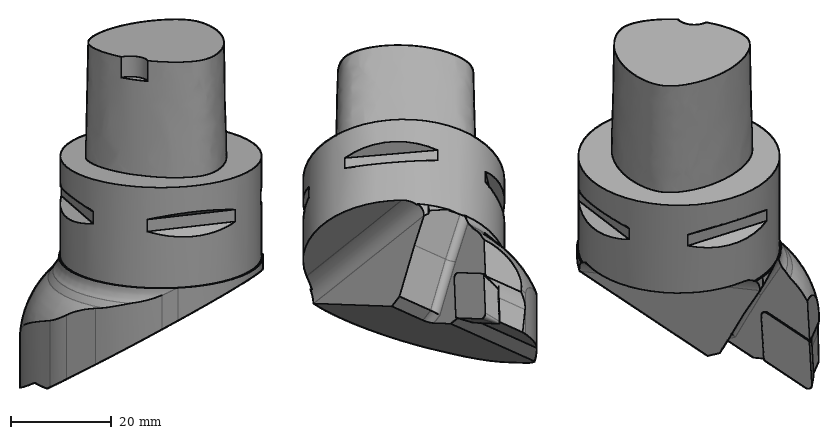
import cadquery as cq
import math


flange_radius = 20.0
flange_depth = 21.0

shank_length = 24.0
shank_base_radius = 14.0
shank_tip_radius = 13.5
shank_lobe = 1.0
shank_points = 24
notch_radius = 3.5
notch_center_y = -14.3
notch_depth = 4.3

groove_count = 4
groove_center_z = -8.0
groove_floor_height = 2.5
groove_floor_distance = 17.7
groove_flank_angle = 30.0
groove_cut_depth = 5.0

neck_radius = 20.3
neck_fillet = 4.2
shoulder_radius = 28.05
shoulder_round = 19.0
shoulder_round_center_z = -38.8
neck_bottom_z = -55.0

front_flat_y = -22.47
front_arc_radius = 22.5
front_arc_center_x = -3.9
front_arc_center_y = front_flat_y + front_arc_radius
blend_angle = math.radians(34.5)
corner_x = -12.05
corner_round = 10.0
left_arc_mid = (-20.96, -17.15)
left_arc_end_y = -10.75
back_step_y = 7.9

nose_x = -27.0
nose_z = -50.0
nose_radius = 0.8
inscribed_diameter = 9.525
insert_thickness = 3.97
insert_angle = 55.0
insert_clearance = 7.0
side_tilt = 3.0
bottom_angle = 90.0 - side_tilt - insert_angle

side_face_x = -26.0
side_face_z = -30.2
rear_face_y = 8.74
rear_cut_z = -20.0
rear_cut_round = 3.65
rake_face_y = -0.4
chip_wall_round = 1.5
chip_wall_kink = (-15.2, -29.2)
chip_wall_upper_angle = 30.0
chip_wall_lower_angle = 27.0
chip_bevel_top_z = -38.95
chip_bevel_bottom_z = -39.9
underside_right_z = -22.4
relief_step_z = -44.45
side_edge_relief = 0.7
bottom_edge_relief = 0.9
side_relief_top_z = -39.5
side_relief_tangent_z = -42.9

reach = 80.0

side_direction = (math.sin(math.radians(side_tilt)), math.cos(math.radians(side_tilt)))
bottom_direction = (math.cos(math.radians(bottom_angle)), math.sin(math.radians(bottom_angle)))
bottom_slope = math.tan(math.radians(bottom_angle))
side_slope = math.tan(math.radians(side_tilt))
nose_center = (nose_x + nose_radius, nose_z + nose_radius)


def side_edge_x(z):
    """X of the insert's side cutting edge at height z."""
    tangent_x = nose_center[0] - nose_radius / side_direction[1]
    return tangent_x + (z - nose_center[1]) * side_slope


def bottom_edge_z(x):
    """Z of the insert's bottom cutting edge at position x."""
    tangent_z = nose_center[1] - nose_radius / bottom_direction[0]
    return tangent_z + (x - nose_center[0]) * bottom_slope


def underside_x(z):
    """X of the sloping underside of the head at height z."""
    return neck_radius + (z - underside_right_z) / bottom_slope


def extrude_across(profile, y_low, y_high):
    """Extrude a closed XZ profile from y_low to y_high."""
    return profile.extrude(y_high - y_low).translate((0, y_high, 0))


def polygon_section(radius, z):
    """Rounded triangle with one lobe toward +Y."""
    def point(t):
        along = radius * math.cos(t) - shank_lobe * (2 * math.cos(2 * t) - math.cos(4 * t))
        across = radius * math.sin(t) + shank_lobe * (2 * math.sin(2 * t) + math.sin(4 * t))
        return (across, -along, z)

    points = [cq.Vector(*point(2 * math.pi * i / shank_points)) for i in range(shank_points)]
    return cq.Wire.assembleEdges([cq.Edge.makeSpline(points, periodic=True)])


def make_shank():
    base = polygon_section(shank_base_radius, 0)
    tip = polygon_section(shank_tip_radius, shank_length)
    shank = cq.Workplane(cq.Solid.makeLoft([base, tip]))
    notch = (
        cq.Workplane("XY", origin=(0, notch_center_y, shank_length - notch_depth))
        .circle(notch_radius)
        .extrude(2 * notch_depth)
    )
    return shank.cut(notch)


def make_flange():
    flange = cq.Workplane("XY").circle(flange_radius).extrude(-flange_depth)
    half_floor = groove_floor_height / 2
    half_mouth = half_floor + groove_cut_depth * math.tan(math.radians(groove_flank_angle))
    groove = (
        cq.Workplane("XZ")
        .moveTo(groove_floor_distance, groove_center_z - half_floor)
        .lineTo(groove_floor_distance + groove_cut_depth, groove_center_z - half_mouth)
        .lineTo(groove_floor_distance + groove_cut_depth, groove_center_z + half_mouth)
        .lineTo(groove_floor_distance, groove_center_z + half_floor)
        .close()
        .extrude(flange_radius, both=True)
    )
    for i in range(groove_count):
        angle = (i + 0.5) * 360 / groove_count
        flange = flange.cut(groove.rotate((0, 0, 0), (0, 0, 1), angle))
    return flange


def make_neck():
    """Neck that flares through a fillet and a cone into a rounded shoulder."""
    arc_angle = math.radians(45)
    arc_end = (math.cos(arc_angle), math.sin(arc_angle))
    arc_middle = (math.cos(arc_angle / 2), math.sin(arc_angle / 2))
    round_center_r = shoulder_radius - shoulder_round
    cone_end = (
        round_center_r + shoulder_round * arc_end[0],
        shoulder_round_center_z + shoulder_round * arc_end[1],
    )
    fillet_center_r = neck_radius + neck_fillet
    cone_start = (
        fillet_center_r - neck_fillet * arc_end[0],
        -flange_depth - neck_fillet * arc_end[1],
    )
    return (
        cq.Workplane("XZ")
        .moveTo(0, -flange_depth)
        .lineTo(neck_radius, -flange_depth)
        .threePointArc(
            (fillet_center_r - neck_fillet * arc_middle[0], -flange_depth - neck_fillet * arc_middle[1]),
            cone_start,
        )
        .lineTo(*cone_end)
        .threePointArc(
            (
                round_center_r + shoulder_round * arc_middle[0],
                shoulder_round_center_z + shoulder_round * arc_middle[1],
            ),
            (shoulder_radius, shoulder_round_center_z),
        )
        .lineTo(shoulder_radius, neck_bottom_z)
        .lineTo(0, neck_bottom_z)
        .close()
        .revolve(360, (0, 0, 0), (0, 1, 0))
    )


def make_outline():
    """Upright block with the outline of the head."""
    sin_blend = math.sin(blend_angle)
    cos_blend = math.cos(blend_angle)
    front_arc_end = (
        front_arc_center_x + front_arc_radius * sin_blend,
        front_arc_center_y - front_arc_radius * cos_blend,
    )
    front_arc_mid = (
        front_arc_center_x + front_arc_radius * math.sin(blend_angle / 2),
        front_arc_center_y - front_arc_radius * math.cos(blend_angle / 2),
    )
    back_step_x = -math.sqrt(neck_radius**2 - back_step_y**2)
    left_arc_end_x = -math.sqrt(shoulder_radius**2 - left_arc_end_y**2)
    block = (
        cq.Workplane("XY", origin=(0, 0, neck_bottom_z))
        .moveTo(corner_x, front_flat_y)
        .lineTo(front_arc_center_x, front_flat_y)
        .threePointArc(front_arc_mid, front_arc_end)
        .lineTo(neck_radius * sin_blend, -neck_radius * cos_blend)
        .threePointArc((0, neck_radius), (back_step_x, back_step_y))
        .lineTo(-reach, back_step_y)
        .lineTo(-reach, left_arc_end_y)
        .lineTo(left_arc_end_x, left_arc_end_y)
        .threePointArc(left_arc_mid, (corner_x, front_flat_y))
        .close()
        .extrude(-flange_depth - neck_bottom_z)
    )
    corner_edge = cq.selectors.NearestToPointSelector(
        (corner_x, front_flat_y, (neck_bottom_z - flange_depth) / 2)
    )
    return block.edges(corner_edge).fillet(corner_round)


def side_and_underside_keep():
    """Region right of the tilted side face and above the underside and its relief."""
    top_z = 0.0
    bottom_relief = bottom_edge_relief / bottom_direction[0]
    side_relief = side_edge_relief / side_direction[1]

    def side_face(z):
        return side_face_x + (z - side_face_z) * side_slope

    def relief_side(z):
        return side_edge_x(z) + side_relief

    relief_start_x = nose_center[0] + (
        relief_step_z - bottom_edge_z(nose_center[0]) - bottom_relief
    ) / bottom_slope
    corner_base_z = bottom_edge_z(relief_side(0)) + bottom_relief
    relief_corner_z = corner_base_z / (1 - bottom_slope * side_slope)
    profile = (
        cq.Workplane("XZ")
        .moveTo(side_face(top_z), top_z)
        .lineTo(underside_x(top_z), top_z)
        .lineTo(underside_x(relief_step_z), relief_step_z)
        .lineTo(relief_start_x, relief_step_z)
        .lineTo(relief_side(relief_corner_z), relief_corner_z)
        .lineTo(relief_side(side_relief_tangent_z), side_relief_tangent_z)
        .tangentArcPoint((side_face(side_relief_top_z), side_relief_top_z), relative=False)
        .close()
    )
    return extrude_across(profile, -reach, reach)


def chip_space():
    """Space in front of the rake face, closed by a kinked, filleted chip wall."""
    kink_x, kink_z = chip_wall_kink
    top_x = kink_x - (-flange_depth - kink_z) * math.tan(math.radians(chip_wall_upper_angle))
    bevel_x = kink_x + (kink_z - chip_bevel_top_z) * math.tan(math.radians(chip_wall_lower_angle))
    wall = [
        (top_x, -flange_depth),
        chip_wall_kink,
        (bevel_x, chip_bevel_top_z),
        (underside_x(chip_bevel_bottom_z), chip_bevel_bottom_z),
    ]
    profile = (
        cq.Workplane("XZ")
        .moveTo(-reach, -flange_depth)
        .polyline(wall, includeCurrent=True)
        .lineTo(wall[-1][0], neck_bottom_z)
        .lineTo(-reach, neck_bottom_z)
        .close()
    )
    space = extrude_across(profile, rake_face_y, reach)
    wall_edges = space.newObject([])
    for start, end in zip(wall, wall[1:]):
        middle = ((start[0] + end[0]) / 2, rake_face_y, (start[1] + end[1]) / 2)
        wall_edges = wall_edges.add(space.edges(cq.selectors.NearestToPointSelector(middle)))
    return wall_edges.fillet(chip_wall_round)


def rear_cut():
    """Space behind the head, with a rounded corner that runs up into the flange."""
    return (
        cq.Workplane("YZ", origin=(-reach, 0, 0))
        .moveTo(rear_face_y, -reach)
        .lineTo(rear_face_y, rear_cut_z - rear_cut_round)
        .radiusArc((rear_face_y + rear_cut_round, rear_cut_z), rear_cut_round)
        .lineTo(reach, rear_cut_z)
        .lineTo(reach, -reach)
        .close()
        .extrude(2 * reach)
    )


def make_insert():
    """Rhombic insert with rounded corners; its flanks lean inward away from the rake face."""
    edge_length = inscribed_diameter / math.sin(math.radians(insert_angle))
    half_angle = math.radians(insert_angle / 2)
    bisector = math.radians(bottom_angle) + half_angle
    corner_offset = nose_radius / math.sin(half_angle)
    x0 = nose_center[0] - corner_offset * math.cos(bisector)
    z0 = nose_center[1] - corner_offset * math.sin(bisector)
    side = (edge_length * side_direction[0], edge_length * side_direction[1])
    bottom = (edge_length * bottom_direction[0], edge_length * bottom_direction[1])
    corners = [
        (x0, z0),
        (x0 + bottom[0], z0 + bottom[1]),
        (x0 + bottom[0] + side[0], z0 + bottom[1] + side[1]),
        (x0 + side[0], z0 + side[1]),
    ]
    rhombus = cq.Sketch().polygon(corners + corners[:1]).vertices().fillet(nose_radius)
    return cq.Workplane("XZ").placeSketch(rhombus).extrude(insert_thickness, taper=insert_clearance)


insert = make_insert()

head = make_neck().intersect(make_outline()).intersect(side_and_underside_keep()).cut(chip_space())
holder = make_flange().union(make_shank()).union(head).cut(rear_cut()).cut(insert)

result = cq.Compound.makeCompound([holder.val(), insert.val()])